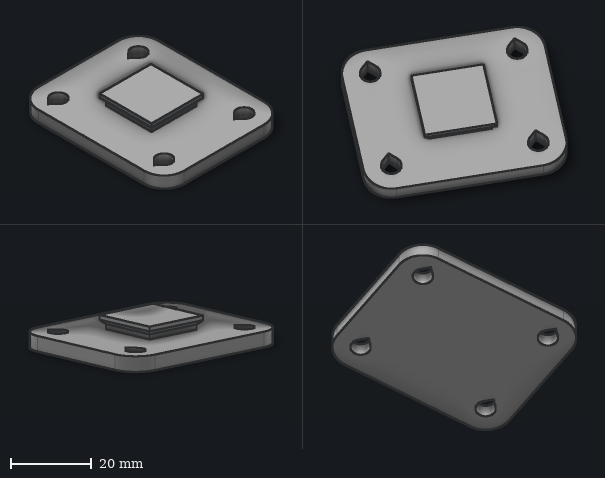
import cadquery as cq
import math

plate_length = 51.0
plate_width = 42.0
plate_thickness = 4.0
corner_radius = 7.0

hole_radius = 2.5
hole_point_reach = 3.58
hole_x = plate_length / 2 - corner_radius
hole_y = plate_width / 2 - corner_radius

total_height = 7.6
head_length = 18.2
head_width = 18.0
flare = 1.1
rim_height = 1.2
neck_length = head_length - 2 * flare
neck_width = head_width - 2 * flare
rim_bottom = total_height - rim_height
flare_bottom = rim_bottom - flare


def make_plate():
    """Flat plate with rounded vertical corners, resting on Z = 0."""
    return (
        cq.Workplane("XY")
        .box(plate_length, plate_width, plate_thickness, centered=(True, True, False))
        .edges("|Z")
        .fillet(corner_radius)
    )


def make_teardrop(x, y):
    """Through-hole cutter: a circle whose tangents meet in a point towards -Y."""
    half_point_angle = math.asin(hole_radius / hole_point_reach)
    tangent_x = hole_radius * math.cos(half_point_angle)
    tangent_y = -hole_radius * math.sin(half_point_angle)
    return (
        cq.Workplane("XY")
        .center(x, y)
        .moveTo(-tangent_x, tangent_y)
        .threePointArc((0, hole_radius), (tangent_x, tangent_y))
        .lineTo(0, -hole_point_reach)
        .close()
        .extrude(plate_thickness)
    )


def make_stud():
    """Neck rising from the plate that flares out to a wider rectangular head."""
    neck = (
        cq.Workplane("XY")
        .workplane(offset=plate_thickness)
        .rect(neck_length, neck_width)
        .extrude(flare_bottom - plate_thickness)
    )
    flared_part = (
        cq.Workplane("XY")
        .workplane(offset=flare_bottom)
        .rect(neck_length, neck_width)
        .workplane(offset=flare)
        .rect(head_length, head_width)
        .loft(ruled=True)
    )
    rim = (
        cq.Workplane("XY")
        .workplane(offset=rim_bottom)
        .rect(head_length, head_width)
        .extrude(rim_height)
    )
    return neck.union(flared_part).union(rim)


plate = make_plate()
for x in (-hole_x, hole_x):
    for y in (-hole_y, hole_y):
        plate = plate.cut(make_teardrop(x, y))

result = plate.union(make_stud())